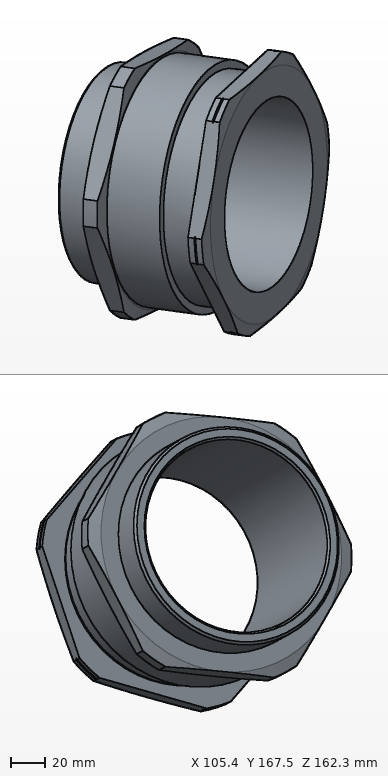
import cadquery as cq
import math

THREAD_END = 24.1
BODY_START = 37.4
BODY_END = 71.7
COLLAR_END = 91.7
NUT_START = 94.5
TOTAL_LENGTH = 105.4

THREAD_DIA = 130.4
BODY_DIA = 150.1
COLLAR_DIA = 140.0
NECK_DIA = 138.4
BORE_DIA = 115.3

THREAD_CHAMFER = 1.5
BORE_CHAMFER = 1.3

RELIEF_WIDTH = 1.3
RELIEF_DEPTH = 0.8

HEX_CORNER_DIA = 167.5
HEX_ACROSS_FLATS = 152.6
HEX_CHAMFER = 2.0
END_NUT_TURN = 10.0

GROOVE_X = NUT_START + 4.5
GROOVE_WIDTH = 1.0
GROOVE_DEPTH = 0.3


def revolve_about_x(points):
    """Revolve a closed (x, radius) outline around the X axis."""
    return cq.Workplane("XY").polyline(points).close().revolve(360, (0, 0, 0), (1, 0, 0))


def hexagon(start, end, turn, start_chamfer):
    """Hexagon with rounded corners, coned at its end and optionally at its start."""
    corner_radius = HEX_CORNER_DIA / 2
    washer_radius = HEX_ACROSS_FLATS / 2
    sharp_dia = HEX_ACROSS_FLATS / math.cos(math.pi / 6)
    prism = cq.Workplane("YZ", origin=(start, 0, 0)).polygon(6, sharp_dia).extrude(end - start)
    start_radius = washer_radius if start_chamfer else corner_radius
    envelope = [(start, 0), (start, start_radius)]
    if start_chamfer:
        envelope.append((start + start_chamfer, corner_radius))
    envelope += [(end - HEX_CHAMFER, corner_radius), (end, washer_radius), (end, 0)]
    return prism.rotate((0, 0, 0), (1, 0, 0), turn).intersect(revolve_about_x(envelope))


def turned_body():
    """Thread, body, collar and relieved neck as one turned profile."""
    thread_radius = THREAD_DIA / 2
    neck_radius = NECK_DIA / 2
    return revolve_about_x([
        (0, 0),
        (0, thread_radius - THREAD_CHAMFER),
        (THREAD_CHAMFER, thread_radius),
        (BODY_START, thread_radius),
        (BODY_START, BODY_DIA / 2),
        (BODY_END, BODY_DIA / 2),
        (BODY_END, COLLAR_DIA / 2),
        (COLLAR_END, COLLAR_DIA / 2),
        (COLLAR_END, neck_radius),
        (NUT_START - RELIEF_WIDTH, neck_radius),
        (NUT_START - RELIEF_WIDTH / 2, neck_radius - RELIEF_DEPTH),
        (NUT_START, neck_radius),
        (TOTAL_LENGTH, neck_radius),
        (TOTAL_LENGTH, 0),
    ])


def bore():
    """Through bore with a chamfered mouth at the threaded end."""
    radius = BORE_DIA / 2
    return revolve_about_x([
        (0, 0),
        (0, radius + BORE_CHAMFER),
        (BORE_CHAMFER, radius),
        (TOTAL_LENGTH, radius),
        (TOTAL_LENGTH, 0),
    ])


def corner_groove():
    """Triangular ring that only reaches the rounded corners."""
    radius = HEX_CORNER_DIA / 2
    return revolve_about_x([
        (GROOVE_X - GROOVE_WIDTH / 2, radius),
        (GROOVE_X, radius - GROOVE_DEPTH),
        (GROOVE_X + GROOVE_WIDTH / 2, radius),
    ])


body_hexagon = hexagon(THREAD_END, BODY_START, 0, HEX_CHAMFER)
end_nut = hexagon(NUT_START, TOTAL_LENGTH, END_NUT_TURN, 0).cut(corner_groove())
result = turned_body().union(body_hexagon).union(end_nut).cut(bore())